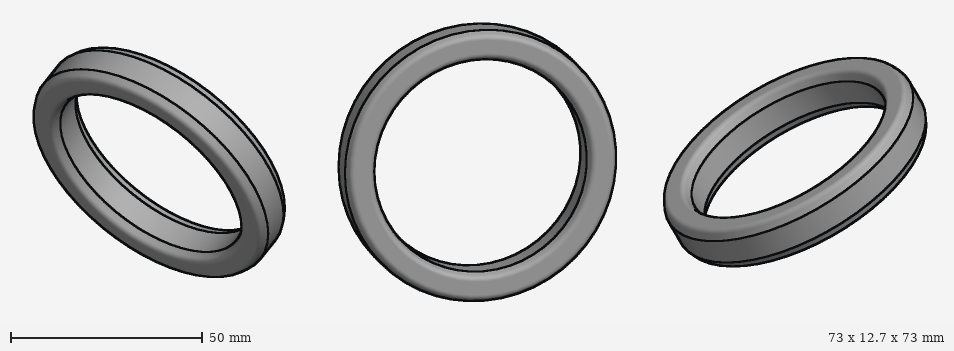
import cadquery as cq
import math

outer_radius = 36.5
inner_radius = 28.55
width = 12.7
cone_angle = 22.5
cone_length = 2.7
blend_radius = 1.5

half_width = width / 2
half_band = half_width - cone_length
cone_rise = cone_length * math.tan(math.radians(cone_angle))

section = [
    (outer_radius, -half_band),
    (outer_radius, half_band),
    (outer_radius - cone_rise, half_width),
    (inner_radius + cone_rise, half_width),
    (inner_radius, half_band),
    (inner_radius, -half_band),
    (inner_radius + cone_rise, -half_width),
    (outer_radius - cone_rise, -half_width),
]
ring = cq.Workplane("XY").polyline(section).close().revolve(360, (0, 0, 0), (0, 1, 0))

result = ring.faces("<Y or >Y").edges("%CIRCLE").fillet(blend_radius)